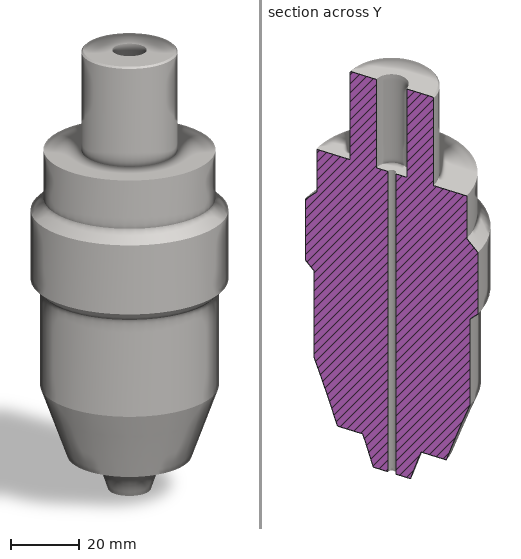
import cadquery as cq

nose_tip_diameter = 12.5
nose_base_diameter = 19.5
taper_tip_diameter = 36.25
sleeve_diameter = 52.0
body_diameter = 57.5
collar_diameter = 50.0
shank_diameter = 28.0

nose_length = 10.5
taper_length = 21.8
sleeve_length = 30.2
collar_length = 15.0
shank_length = 31.0
total_length = 136.5

shank_chamfer = 0.5
through_bore_diameter = 2.5
shank_bore_diameter = 10.0
shank_bore_depth = shank_length

lower_cone_length = (body_diameter - sleeve_diameter) / 2
upper_cone_length = (body_diameter - collar_diameter) / 2

shank_base_z = total_length - shank_length
collar_base_z = shank_base_z - collar_length
body_top_z = collar_base_z - upper_cone_length
sleeve_base_z = nose_length + taper_length
sleeve_top_z = sleeve_base_z + sleeve_length
body_base_z = sleeve_top_z + lower_cone_length


def make_turned_body():
    """Revolve the stepped half outline about the Z axis."""
    outline = [
        (0, 0),
        (nose_tip_diameter / 2, 0),
        (nose_base_diameter / 2, nose_length),
        (taper_tip_diameter / 2, nose_length),
        (sleeve_diameter / 2, sleeve_base_z),
        (sleeve_diameter / 2, sleeve_top_z),
        (body_diameter / 2, body_base_z),
        (body_diameter / 2, body_top_z),
        (collar_diameter / 2, collar_base_z),
        (collar_diameter / 2, shank_base_z),
        (shank_diameter / 2, shank_base_z),
        (shank_diameter / 2, total_length - shank_chamfer),
        (shank_diameter / 2 - shank_chamfer, total_length),
        (0, total_length),
    ]
    profile = cq.Workplane("YZ").polyline(outline).close()
    return profile.revolve(360, (0, 0, 0), (0, 1, 0))


def cut_bores(part):
    """Drill the stepped axial bore down from the top of the shank."""
    return part.faces(">Z").workplane().cboreHole(
        through_bore_diameter, shank_bore_diameter, shank_bore_depth
    )


result = cut_bores(make_turned_body())